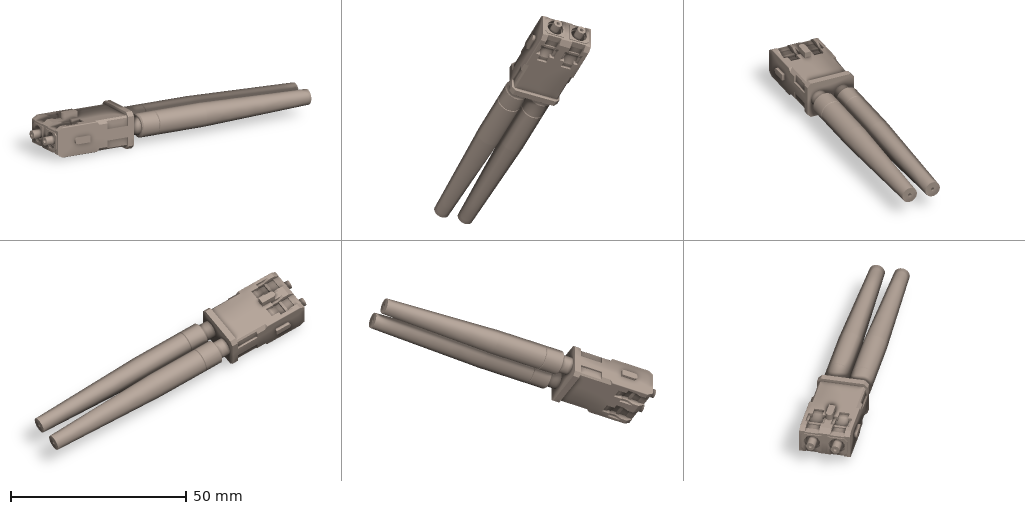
import cadquery as cq


insert_front = 2.0
housing_front = 2.25
flange_front = 25.3
flange_back = 27.2
boot_front = 30.3
groove_at = 36.0
taper_start = 51.5
overall_length = 86.4

channel_x = 3.6
ferrule_diameter = 2.5
fibre_bore_diameter = 1.0
stem_diameter = 5.1
boot_diameter = 7.0
boot_end_diameter = 4.6
boot_chamfer = 0.35
groove_width = 0.35
groove_depth = 0.2
socket_diameter = 4.2
socket_rim_diameter = 4.8
socket_rim_depth = 0.9
socket_depth = 5.2
insert_inner_x = 0.9
insert_outer_x = 6.65
insert_height = 5.5
insert_corner = 0.8

width = 14.8
housing_height = 9.1
flange_height = 11.05
flange_chamfer = 1.1
long_edge_radius = 0.3
nose_length = 1.6
nose_drop = 1.0

half_width = width / 2
housing_top = housing_height / 2

relief_size = 1.0
relief_start = 15.9
run_out_length = 0.8
pocket_end = 18.6
pocket_depth = 0.6
pocket_bottom = 1.6
pocket_top = 4.1

slot_width = 4.1
slot_x = 3.7
slot_back = 9.7
latch_z = 3.3
latch_step_z = 2.9
trench_z = 2.6
window_z = 3.8
step_start = 4.2
ridge_start = 6.6
ridge_end = 7.3
ramp_start = 8.6
ramp_end = 10.9
window_back = 12.1
window_width = 2.9
side_inner_x = 0.95
side_outer_x = 6.4
side_z = 3.8
side_start = 5.7

key_front = 7.6
key_back = 12.4
key_width = 1.9
key_top = 6.4
side_key_reach = 8.25

overlap = 0.9


def box(x0, x1, y0, y1, z0, z1):
    """Axis-aligned block between two corners."""
    return cq.Workplane("XY").box(x1 - x0, y1 - y0, z1 - z0, centered=False).translate((x0, y0, z0))


def along_y(start, end):
    """XZ workplane at `start`, and the signed length that extrudes it to `end`."""
    return cq.Workplane("XZ", origin=(0, start, 0)), start - end


def rod(diameter, start, end):
    plane, length = along_y(start, end)
    return plane.circle(diameter / 2).extrude(length)


def side_profile(points, x_center, thickness):
    """Extrude (y, z) points across X, centred on x_center."""
    plane = cq.Workplane("YZ", origin=(x_center, 0, 0))
    return plane.polyline(points).close().extrude(thickness / 2, both=True)


def mirrored_z(shape):
    return shape.union(shape.mirror("XY"))


def mirrored_x(shape):
    return shape.union(shape.mirror("YZ"))


def make_housing():
    plane, length = along_y(housing_front, flange_front + overlap)
    housing = plane.rect(width, housing_height).extrude(length)
    housing = housing.edges("|Y").fillet(long_edge_radius)
    nose_cut = side_profile(
        [
            (housing_front, housing_top - nose_drop),
            (housing_front, housing_top),
            (housing_front + nose_length, housing_top),
        ],
        0,
        width,
    )
    return housing.cut(mirrored_z(nose_cut))


def make_flange():
    plane, length = along_y(flange_front, flange_back)
    return plane.rect(width, flange_height).extrude(length).edges("|Y").chamfer(flange_chamfer)


def make_corner_relief():
    """Bevel on the top left long edge, running out in a short ramp, with a grip pocket under it."""
    run_out_start = relief_start - run_out_length
    plane, length = along_y(run_out_start, flange_front)
    bevel = (
        plane.moveTo(-half_width, housing_top)
        .lineTo(-half_width + relief_size, housing_top)
        .lineTo(-half_width, housing_top - relief_size)
        .close()
        .extrude(length)
    )
    run_out = side_profile(
        [
            (run_out_start, housing_top),
            (run_out_start, housing_top - relief_size),
            (relief_start, housing_top - relief_size),
        ],
        -half_width,
        2 * relief_size,
    )
    pocket = box(
        -half_width, -half_width + pocket_depth, pocket_end, flange_front, pocket_bottom, pocket_top
    )
    return bevel.cut(run_out).union(pocket)


def make_latch_recess():
    """Stepped slot with a rear window and shallow side ramps, above the right channel."""
    above = housing_top + overlap
    floor = [
        (insert_front, latch_z),
        (step_start, latch_z),
        (step_start, latch_step_z),
        (ridge_start, latch_step_z),
        (ridge_start, latch_z),
        (ridge_end, latch_z),
        (ridge_end, trench_z),
        (ramp_start, trench_z),
        (ramp_end, window_z),
        (window_back, window_z),
        (window_back, above),
        (insert_front, above),
    ]
    window = side_profile(floor, slot_x, window_width)
    slot = side_profile(floor, slot_x, slot_width).intersect(
        box(0, half_width, insert_front, slot_back, 0, above)
    )
    side_ramps = side_profile(
        [(side_start, housing_top), (ridge_end, side_z), (slot_back, side_z), (slot_back, housing_top)],
        (side_inner_x + side_outer_x) / 2,
        side_outer_x - side_inner_x,
    )
    return slot.union(window).union(side_ramps)


def make_key(height):
    """Upright key with a round nose pointing to -Y, rising from z = 0."""
    radius = key_width / 2
    return (
        cq.Workplane("XY")
        .moveTo(-radius, key_back)
        .lineTo(-radius, key_front + radius)
        .threePointArc((0, key_front), (radius, key_front + radius))
        .lineTo(radius, key_back)
        .close()
        .extrude(height)
    )


def make_keys():
    side_stub = make_key(side_key_reach - half_width + overlap)
    side_stub = side_stub.translate((0, 0, half_width - overlap))
    right_key = side_stub.rotate((0, 0, 0), (0, 1, 0), 90)
    base_z = housing_top - overlap
    top_key = make_key(key_top - base_z).translate((0, 0, base_z))
    return mirrored_x(right_key).union(top_key)


def make_insert():
    """Slightly proud insert around the right ferrule."""
    plane, length = along_y(insert_front, housing_front + overlap)
    insert = (
        plane.center((insert_inner_x + insert_outer_x) / 2, 0)
        .rect(insert_outer_x - insert_inner_x, insert_height)
        .extrude(length)
    )
    return insert.edges("|Y and >X").chamfer(insert_corner)


def make_socket():
    """Stepped round socket around a ferrule on the Y axis."""
    socket = rod(socket_diameter, insert_front, insert_front + socket_depth)
    rim = rod(socket_rim_diameter, insert_front, insert_front + socket_rim_depth)
    return socket.union(rim)


def make_boot():
    """Stem and tapered boot on the Y axis."""
    radius = boot_diameter / 2
    groove_radius = radius - groove_depth
    half_groove = groove_width / 2
    return (
        cq.Workplane("XY")
        .polyline(
            [
                (0, flange_back - overlap),
                (stem_diameter / 2, flange_back - overlap),
                (stem_diameter / 2, boot_front),
                (radius - boot_chamfer, boot_front),
                (radius, boot_front + boot_chamfer),
                (radius, groove_at - half_groove),
                (groove_radius, groove_at),
                (radius, groove_at + half_groove),
                (radius, taper_start),
                (boot_end_diameter / 2, overall_length),
                (0, overall_length),
            ]
        )
        .close()
        .revolve(360, (0, 0, 0), (0, 1, 0))
    )


def on_both_channels(shape):
    """Copy a shape from the Y axis onto both channel axes."""
    return mirrored_x(shape.translate((channel_x, 0, 0)))


ferrule = rod(ferrule_diameter, 0, insert_front + socket_depth + overlap)
fibre_bore = rod(fibre_bore_diameter, 0, overall_length)

result = (
    make_housing()
    .cut(mirrored_x(mirrored_z(make_corner_relief())))
    .union(make_flange())
    .cut(mirrored_x(mirrored_z(make_latch_recess())))
    .union(make_keys())
    .union(mirrored_x(make_insert()))
    .cut(on_both_channels(make_socket()))
    .union(on_both_channels(ferrule))
    .union(on_both_channels(make_boot()))
    .cut(on_both_channels(fibre_bore))
)